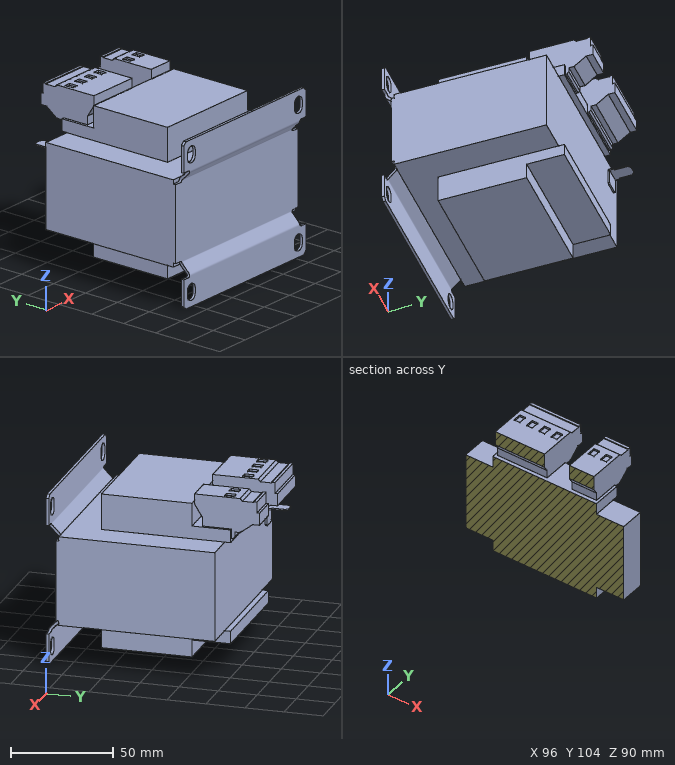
import cadquery as cq
import math


OVERALL_HEIGHT = 89.95

WIDTH = 96.0
CORE_DEPTH = 80.0
CORE_HEIGHT = 46.0
CORE_FRONT = -CORE_DEPTH / 2
CORE_BACK = CORE_DEPTH / 2
CORE_TOP = CORE_HEIGHT / 2

COIL_WIDTH = 63.0
COIL_DEPTH = 46.5
COIL_TOP = 41.4
COIL_BOTTOM = -38.5
LEDGE_BACK = 43.0
LEDGE_TOP = 29.6

SHEET = 1.55
PLATE_HEIGHT = 88.2
PLATE_TOP = PLATE_HEIGHT / 2
PLATE_BOTTOM = -PLATE_TOP
PLATE_FRONT = -46.6
PANEL_FRONT = CORE_FRONT - SHEET
BEND_ANGLE = 45.0
BEND_INNER_RADIUS = 1.0
BEND_OUTER_RADIUS = BEND_INNER_RADIUS + SHEET
PANEL_BEND_START = 21.3
RELIEF_BOTTOM = 20.8
RELIEF_TOP = 28.1
RELIEF_DEPTH = 4.7
RELIEF_RADIUS = 1.0
FOOT_CHAMFER = 1.75
SLOT_WIDTH = 6.0
SLOT_LENGTH = 8.8
SLOT_X = 42.0
SLOT_Z = 36.25

TERMINAL_WIDTH = 15.0
TERMINAL_LEFT_SIDES = (-30.0, -15.0, 15.0)
TERMINAL_TOP = PLATE_BOTTOM + OVERALL_HEIGHT
TERMINAL_BACK = 57.4
TERMINAL_FRONT = 24.1
TERMINAL_FRONT_BOTTOM = 40.5
STEM_FRONT = 28.1
STEM_TOP = 34.2
DECK_BACK = 47.4
GROOVE_FRONT = 48.6
GROOVE_BACK = 54.3
GROOVE_FLOOR = 44.6
RIM_BACK = 56.1
RIM_TOP = 45.0
NOSE_TOP = 39.3
NOSE_BOTTOM = 33.0
NOSE_SLOPE_BACK = 53.9
NOSE_SLOPE_FRONT = 47.5
BELLY_BOTTOM = 28.2
HOOK_BACK = 44.8
HOOK_BOTTOM = 24.6
HOOK_CHAMFER = 1.0
WIRE_WINDOW_WIDTH = 3.5
WIRE_WINDOW_LENGTH = 4.8
WIRE_WINDOW_DEPTH = 1.0
WIRE_WINDOW_Y = 41.3
WIRE_PITCH = TERMINAL_WIDTH / 2

TAB_SHEET = 0.8
TAB_X = -39.75
TAB_BASE_WIDTH = 8.0
TAB_BLADE_WIDTH = 6.6
TAB_TOP = 18.1
TAB_BOTTOM = 8.6
TAB_SHOULDER = 43.2
TAB_TIP = 51.4
TAB_TIP_CHAMFER = 1.3
TAB_FOOT_CHAMFER = 0.8


def make_core():
    return cq.Workplane("XY").box(WIDTH, CORE_DEPTH, CORE_HEIGHT)


def make_coil_step(reach):
    """Stepped coil body above the core, rising to the height given by reach."""
    front = -COIL_DEPTH / 2
    back = COIL_DEPTH / 2
    outline = [
        (front, CORE_TOP),
        (front, reach),
        (back, reach),
        (back, LEDGE_TOP),
        (LEDGE_BACK, LEDGE_TOP),
        (LEDGE_BACK, CORE_TOP),
    ]
    return cq.Workplane("YZ").polyline(outline).close().extrude(COIL_WIDTH / 2, both=True)


def make_coil():
    """Coil body showing above and below the core; the lower step is shallower."""
    upper = make_coil_step(COIL_TOP)
    lower = make_coil_step(-COIL_BOTTOM).mirror("XY")
    return upper.union(lower)


def make_bent_sheet():
    """Upper half of the plate's side profile, at full width and without cut-outs."""
    angle = math.radians(BEND_ANGLE)
    half = angle / 2
    sin_a = math.sin(angle)
    cos_a = math.cos(angle)

    low_y = PANEL_FRONT - BEND_INNER_RADIUS
    low_z = PANEL_BEND_START
    high_y = PLATE_FRONT + BEND_OUTER_RADIUS
    slant_y = (low_y + BEND_INNER_RADIUS * cos_a) - (high_y - BEND_OUTER_RADIUS * cos_a)
    slant_z = slant_y / math.tan(angle)
    high_z = low_z + (BEND_INNER_RADIUS + BEND_OUTER_RADIUS) * sin_a + slant_z

    def low(radius, turn):
        return (low_y + radius * math.cos(turn), low_z + radius * math.sin(turn))

    def high(radius, turn):
        return (high_y - radius * math.cos(turn), high_z - radius * math.sin(turn))

    return (
        cq.Workplane("YZ")
        .moveTo(PANEL_FRONT, 0)
        .lineTo(*low(BEND_INNER_RADIUS, 0))
        .threePointArc(low(BEND_INNER_RADIUS, half), low(BEND_INNER_RADIUS, angle))
        .lineTo(*high(BEND_OUTER_RADIUS, angle))
        .threePointArc(high(BEND_OUTER_RADIUS, half), high(BEND_OUTER_RADIUS, 0))
        .lineTo(PLATE_FRONT, PLATE_TOP)
        .lineTo(PLATE_FRONT + SHEET, PLATE_TOP)
        .lineTo(*high(BEND_INNER_RADIUS, 0))
        .threePointArc(high(BEND_INNER_RADIUS, half), high(BEND_INNER_RADIUS, angle))
        .lineTo(*low(BEND_OUTER_RADIUS, angle))
        .threePointArc(low(BEND_OUTER_RADIUS, half), low(BEND_OUTER_RADIUS, 0))
        .lineTo(CORE_FRONT, 0)
        .close()
        .extrude(WIDTH / 2, both=True)
    )


def make_plate_half():
    """Upper half of the mounting plate, with corner reliefs and slotted foot."""
    through = CORE_FRONT - PLATE_FRONT
    side = WIDTH / 2

    relief_height = RELIEF_TOP - RELIEF_BOTTOM
    relief_z = (RELIEF_TOP + RELIEF_BOTTOM) / 2
    reliefs = (
        cq.Workplane("XZ", origin=(0, CORE_FRONT, 0))
        .pushPoints([(-side, relief_z), (side, relief_z)])
        .rect(2 * RELIEF_DEPTH, relief_height)
        .extrude(through)
        .edges("|Y")
        .fillet(RELIEF_RADIUS)
    )
    slots = (
        cq.Workplane("XZ", origin=(0, CORE_FRONT, 0))
        .pushPoints([(-SLOT_X, SLOT_Z), (SLOT_X, SLOT_Z)])
        .slot2D(SLOT_LENGTH, SLOT_WIDTH, 90)
        .extrude(through)
    )
    blank = (
        cq.Workplane("XZ", origin=(0, CORE_FRONT, 0))
        .rect(WIDTH, PLATE_HEIGHT)
        .extrude(through)
        .edges("|Y")
        .chamfer(FOOT_CHAMFER)
    )
    return make_bent_sheet().intersect(blank).cut(reliefs).cut(slots)


def make_plate():
    upper_half = make_plate_half()
    return upper_half.union(upper_half.mirror("XY"))


def make_terminal(left):
    """Two-pole terminal block standing on the ledge and hooked over its back."""
    outline = [
        (TERMINAL_FRONT, TERMINAL_TOP),
        (DECK_BACK, TERMINAL_TOP),
        (GROOVE_FRONT, GROOVE_FLOOR),
        (GROOVE_BACK, GROOVE_FLOOR),
        (GROOVE_BACK, RIM_TOP),
        (RIM_BACK, RIM_TOP),
        (RIM_BACK, NOSE_TOP),
        (TERMINAL_BACK, NOSE_TOP),
        (TERMINAL_BACK, NOSE_BOTTOM),
        (NOSE_SLOPE_BACK, NOSE_BOTTOM),
        (NOSE_SLOPE_FRONT, BELLY_BOTTOM),
        (HOOK_BACK, BELLY_BOTTOM),
        (HOOK_BACK, HOOK_BOTTOM + HOOK_CHAMFER),
        (HOOK_BACK - HOOK_CHAMFER, HOOK_BOTTOM),
        (LEDGE_BACK, HOOK_BOTTOM),
        (LEDGE_BACK, LEDGE_TOP),
        (STEM_FRONT, LEDGE_TOP),
        (STEM_FRONT, STEM_TOP),
        (TERMINAL_FRONT, TERMINAL_FRONT_BOTTOM),
    ]
    block = (
        cq.Workplane("YZ", origin=(left, 0, 0)).polyline(outline).close().extrude(TERMINAL_WIDTH)
    )
    windows = (
        cq.Workplane("XY", origin=(left + TERMINAL_WIDTH / 2, WIRE_WINDOW_Y, TERMINAL_TOP))
        .rarray(WIRE_PITCH, 1, 2, 1)
        .rect(WIRE_WINDOW_WIDTH, WIRE_WINDOW_LENGTH)
        .extrude(-WIRE_WINDOW_DEPTH)
    )
    return block.cut(windows)


def make_earth_tab():
    """L-shaped flat connector fixed to the back of the core."""
    leg = (
        cq.Workplane("XZ", origin=(TAB_X, CORE_BACK, (TAB_TOP + TAB_BOTTOM) / 2))
        .rect(TAB_BASE_WIDTH, TAB_TOP - TAB_BOTTOM)
        .extrude(-TAB_SHEET)
        .edges("|Y and <Z")
        .chamfer(TAB_FOOT_CHAMFER)
    )
    half_base = TAB_BASE_WIDTH / 2
    half_blade = TAB_BLADE_WIDTH / 2
    half_tip = half_blade - TAB_TIP_CHAMFER
    outline = [
        (-half_base, CORE_BACK),
        (-half_base, TAB_SHOULDER),
        (-half_blade, TAB_SHOULDER),
        (-half_blade, TAB_TIP - TAB_TIP_CHAMFER),
        (-half_tip, TAB_TIP),
        (half_tip, TAB_TIP),
        (half_blade, TAB_TIP - TAB_TIP_CHAMFER),
        (half_blade, TAB_SHOULDER),
        (half_base, TAB_SHOULDER),
        (half_base, CORE_BACK),
    ]
    blade = (
        cq.Workplane("XY", origin=(TAB_X, 0, TAB_TOP))
        .polyline(outline)
        .close()
        .extrude(-TAB_SHEET)
    )
    bend = leg.union(blade).edges("|X and <Y and >Z")
    return bend.fillet(TAB_SHEET)


result = make_core()
result = result.union(make_plate(), clean=False)
result = result.union(make_coil(), clean=False)
for terminal_left in TERMINAL_LEFT_SIDES:
    result = result.union(make_terminal(terminal_left), clean=False)
result = result.union(make_earth_tab(), clean=False)